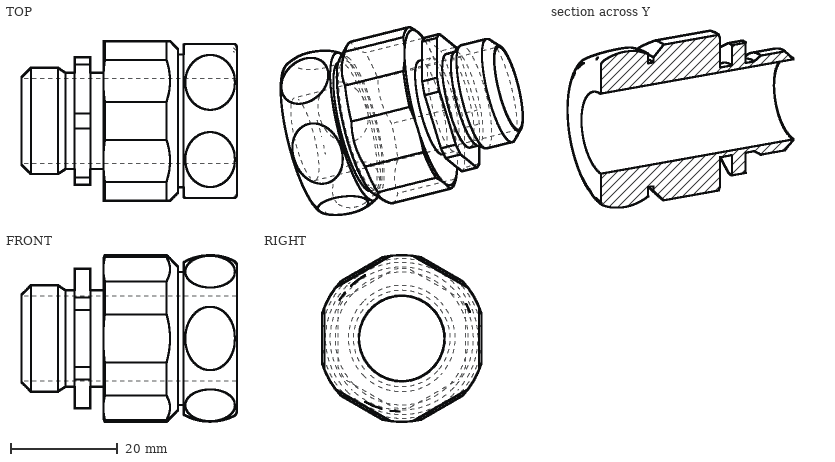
import cadquery as cq

bore_diameter = 16.0
total_length = 40.5

spigot_diameter = 20.0
spigot_tip_diameter = 16.45
spigot_tip_length = 1.8
spigot_end = 6.85
neck_start = 8.25
neck_diameter = 18.15

plate_start = 10.0
plate_end = 12.95
plate_flats = 23.98
plate_corner_diameter = 26.25

body_start = 15.4
body_lead_length = 0.3
body_cone_start = 27.25
body_end = 29.45
body_flats = 30.0
body_corner_diameter = 31.35
body_cone_diameter = 26.9

collar_diameter = 25.0
nut_start = 30.45
nut_flats = 28.95
nut_crown_diameter = 31.3
nut_flat_length = 9.35
nut_crown_x = 35.45
nut_edge_length = 0.65
nut_face_diameter = 27.45


def revolve_about_x(profile):
    """Revolve a closed (x, radius) profile a full turn about X."""
    return profile.close().revolve(360, (0, 0, 0), (1, 0, 0))


def hexagon_prism(start, end, across_flats):
    """Hexagonal bar along X with two flats facing +Y and -Y."""
    sketch = cq.Workplane("YZ", origin=(start, 0, 0))
    return sketch.polygon(6, across_flats, circumscribed=True).extrude(end - start)


def cylinder(start, end, diameter):
    return cq.Workplane("YZ", origin=(start, 0, 0)).circle(diameter / 2).extrude(end - start)


def make_spigot():
    profile = cq.Workplane("XY").polyline([
        (0, 0),
        (0, spigot_tip_diameter / 2),
        (spigot_tip_length, spigot_diameter / 2),
        (spigot_end, spigot_diameter / 2),
        (neck_start, neck_diameter / 2),
        (body_start, neck_diameter / 2),
        (body_start, 0),
    ])
    return revolve_about_x(profile)


def make_plate():
    disc = cylinder(plate_start, plate_end, plate_corner_diameter)
    return disc.intersect(hexagon_prism(plate_start, plate_end, plate_flats))


def make_body():
    corner_radius = body_corner_diameter / 2
    profile = cq.Workplane("XY").polyline([
        (body_start, 0),
        (body_start, body_flats / 2),
        (body_start + body_lead_length, corner_radius),
        (body_cone_start, corner_radius),
        (body_end, body_cone_diameter / 2),
        (body_end, 0),
    ])
    return revolve_about_x(profile).intersect(hexagon_prism(body_start, body_end, body_flats))


def make_nut():
    crown_radius = nut_crown_diameter / 2
    half_length = nut_flat_length / 2
    drop = crown_radius - nut_flats / 2
    arc_radius = (half_length ** 2 + drop ** 2) / (2 * drop)

    def crown_point(x):
        sag = arc_radius - (arc_radius ** 2 - (x - nut_crown_x) ** 2) ** 0.5
        return x, crown_radius - sag

    profile = (
        cq.Workplane("XY")
        .moveTo(nut_start, 0)
        .lineTo(*crown_point(nut_start))
        .threePointArc((nut_crown_x, crown_radius), crown_point(total_length - nut_edge_length))
        .tangentArcPoint((total_length, nut_face_diameter / 2), relative=False)
        .lineTo(total_length, 0)
    )
    return revolve_about_x(profile).intersect(hexagon_prism(nut_start, total_length, nut_flats))


collar = cylinder(body_end, nut_start, collar_diameter)
bore = cylinder(0, total_length, bore_diameter)

result = make_spigot().union(make_plate()).union(make_body()).union(collar).union(make_nut()).cut(bore)